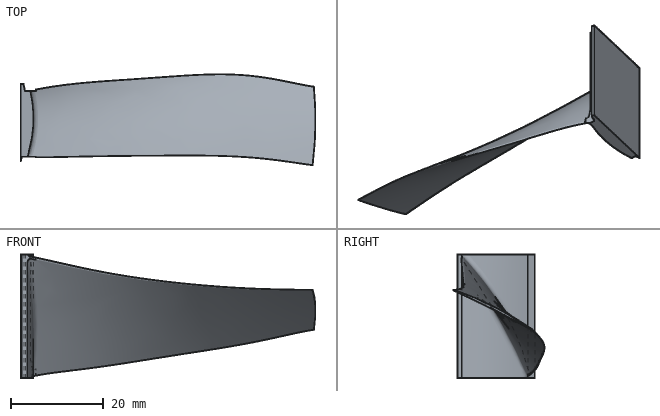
import cadquery as cq
import math


platform_height = 26.74
platform_half_width = 16.73 / 2
upper_lip = 0.65
lower_lip = 0.05
upper_shoulder_x = 1.0
upper_shoulder_y = 6.85
lower_shoulder_x = 0.3
lower_shoulder_y = -7.4
upper_dome_x = 2.1
lower_dome_x = 1.35
crown_x = 2.8
crown_y = 1.0
land_limit_x = 3.3

blade_length = 63.77
tip_radius = 78.0
tip_center_y = 0.5
root_fillet = 1.0
end_ratio = 0.15
end_slenderness = 1.5
margin = 5.0

stations = [
    (0.5, (-7.25, 13.25), (6.5, -13.5), 1.3, 1.9),
    (12.0, (-7.3, 10.75), (8.4, -11.6), 1.2, 1.7),
    (24.0, (-7.15, 8.5), (9.35, -9.9), 1.05, 1.5),
    (36.0, (-7.1, 7.0), (10.2, -8.0), 0.85, 1.2),
    (46.0, (-7.3, 6.2), (10.4, -6.4), 0.7, 0.95),
    (56.0, (-8.2, 5.8), (9.2, -4.4), 0.55, 0.75),
    (65.0, (-9.43, 5.65), (7.6, -2.7), 0.4, 0.6),
]


def make_flange():
    """Thin base plate with tapered lips along both Y sides."""
    return (
        cq.Workplane("XY", origin=(0, 0, -platform_height / 2))
        .moveTo(0, -platform_half_width)
        .lineTo(lower_lip, -platform_half_width)
        .lineTo(lower_shoulder_x, lower_shoulder_y)
        .lineTo(upper_shoulder_x, upper_shoulder_y)
        .lineTo(upper_lip, platform_half_width)
        .lineTo(0, platform_half_width)
        .close()
        .extrude(platform_height)
    )


def make_dome_block():
    """Block under the dome surface, extended past the platform so the root fillet can run all round."""
    chord_y = upper_shoulder_y - lower_shoulder_y
    slope = (upper_dome_x - lower_dome_x) / chord_y
    crown_offset = crown_y - lower_shoulder_y
    sagitta = crown_x - lower_dome_x - slope * crown_offset
    curvature = sagitta / (crown_offset * (chord_y - crown_offset))

    def dome_x(y):
        """Parabola through the two dome shoulders and the crown, carried past the shoulders."""
        from_lower = y - lower_shoulder_y
        return lower_dome_x + slope * from_lower + curvature * from_lower * (chord_y - from_lower)

    low = lower_shoulder_y - margin
    high = upper_shoulder_y + margin
    base_x = -2 * margin
    return (
        cq.Workplane("XY")
        .moveTo(base_x, low)
        .lineTo(dome_x(low), low)
        .threePointArc((crown_x, crown_y), (dome_x(high), high))
        .lineTo(base_x, high)
        .close()
        .extrude(platform_height / 2 + margin, both=True)
    )


def blade_section(x, leading, trailing, camber, thickness):
    """Thin cambered section in a plane of constant X with rounded ends."""
    chord_y = trailing[0] - leading[0]
    chord_z = trailing[1] - leading[1]
    chord = math.hypot(chord_y, chord_z)

    def point(along, across):
        return cq.Vector(
            x,
            leading[0] + (chord_y * along - chord_z * across) / chord,
            leading[1] + (chord_z * along + chord_y * across) / chord,
        )

    def side(half_thickness, half_end):
        return cq.Edge.makeThreePointArc(
            point(end_length, half_end),
            point(chord / 2, camber + half_thickness),
            point(chord - end_length, half_end),
        )

    def rounded_end(first, first_at, tip, second, second_at, sense):
        return cq.Edge.makeSpline(
            [first.positionAt(first_at), tip, second.positionAt(second_at)],
            tangents=[first.tangentAt(first_at) * sense, second.tangentAt(second_at) * -sense],
        )

    end_half_width = thickness * end_ratio
    end_length = end_half_width * end_slenderness
    suction = side(thickness / 2, end_half_width)
    pressure = side(-thickness / 2, -end_half_width)
    trailing_end = rounded_end(suction, 1, point(chord, 0), pressure, 1, 1)
    leading_end = rounded_end(pressure, 0, point(0, 0), suction, 0, -1)
    return cq.Wire.assembleEdges([suction, trailing_end, pressure, leading_end])


def make_blade():
    """Twisted blade lofted through the stations, with its tip cut to a cylinder about a Z axis."""
    loft = cq.Solid.makeLoft([blade_section(*station) for station in stations])
    tip = (
        cq.Workplane("XY", origin=(blade_length - tip_radius, tip_center_y, -platform_height))
        .circle(tip_radius)
        .extrude(2 * platform_height)
    )
    return cq.Workplane(loft).intersect(tip)


def make_land_envelope():
    """Space for the land, as wide as the shoulders, and above it for the whole blade."""
    far_x = blade_length + margin
    far_y = platform_half_width + margin
    return (
        cq.Workplane("XY", origin=(0, 0, -platform_height / 2))
        .moveTo(0, lower_shoulder_y)
        .lineTo(land_limit_x, lower_shoulder_y)
        .lineTo(land_limit_x, -far_y)
        .lineTo(far_x, -far_y)
        .lineTo(far_x, far_y)
        .lineTo(land_limit_x, far_y)
        .lineTo(land_limit_x, upper_shoulder_y)
        .lineTo(0, upper_shoulder_y)
        .close()
        .extrude(platform_height)
    )


def make_land_with_blade():
    """Domed land and blade, filleted together and then trimmed to the platform."""
    joined = make_dome_block().union(make_blade())
    root_zone = cq.selectors.BoxSelector(
        (0, -platform_half_width, -platform_height),
        (land_limit_x, platform_half_width, platform_height),
        boundingbox=True,
    )
    filleted = joined.edges(root_zone).fillet(root_fillet)
    return filleted.intersect(make_land_envelope())


result = make_flange().union(make_land_with_blade())